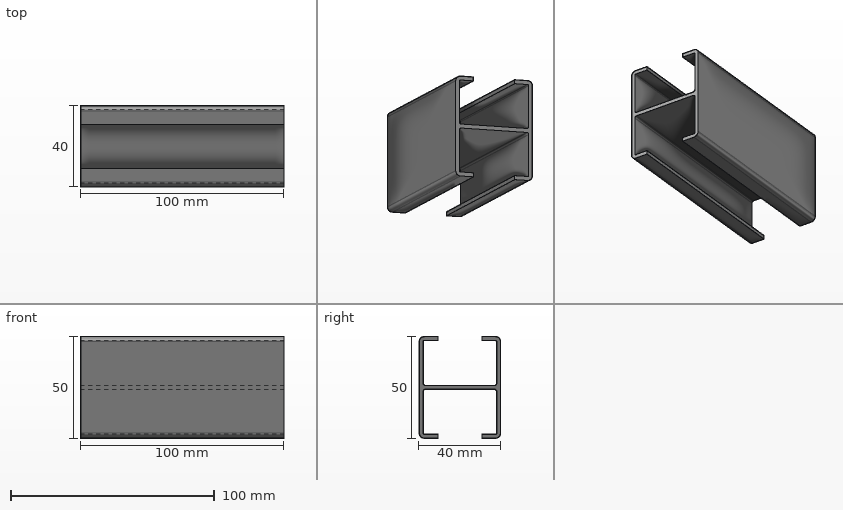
import cadquery as cq

length = 100.0
width = 40.0
height = 50.0

wall = 2.0
lip_opening = 21.5
outer_radius = 2.5
inner_radius = outer_radius - wall
web_radius = 1.0

cavity_width = width - 2 * wall
cavity_height = (height - 3 * wall) / 2
cavity_center_z = (wall + cavity_height) / 2


def bar(size_y, size_z):
    """Full-length bar centred on the origin."""
    return cq.Workplane("XY").box(length, size_y, size_z)


def channel_cavity():
    """Upper cavity: rounded at the lips and at the web, open through the lip gap."""
    cavity = bar(cavity_width, cavity_height)
    cavity = cavity.faces(">Z").edges("|X").fillet(inner_radius)
    cavity = cavity.faces("<Z").edges("|X").fillet(web_radius)
    gap_height = cavity_height / 2 + wall
    gap = bar(lip_opening, gap_height).translate((0, 0, gap_height / 2))
    return cavity.union(gap).translate((0, 0, cavity_center_z))


upper_cavity = channel_cavity()
lower_cavity = upper_cavity.mirror("XY")

result = bar(width, height).edges("|X").fillet(outer_radius).cut(upper_cavity).cut(lower_cavity)